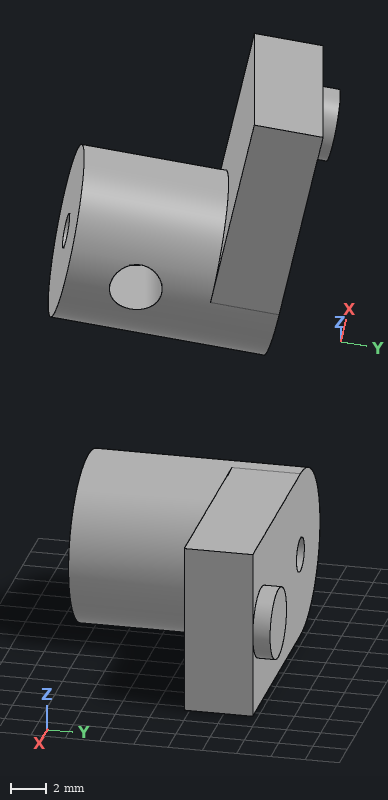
import cadquery as cq

overall_length = 17.1
barrel_diameter = 10.0
barrel_length = 12.4
plate_thickness = 4.0
bore_diameter = 2.0
boss_diameter = 4.17
boss_height = 1.01
side_hole_diameter = 3.0
side_hole_from_front = 4.05

barrel_radius = barrel_diameter / 2
plate_end_x = overall_length - barrel_radius
boss_x = plate_end_x - boss_diameter / 2


def cylinder_along_y(diameter, y_start, length, x=0):
    """Solid cylinder centred at height zero, running toward +Y."""
    return cq.Workplane("XZ", origin=(x, y_start, 0)).circle(diameter / 2).extrude(-length)


barrel = cylinder_along_y(barrel_diameter, 0, barrel_length)

arm = cq.Workplane("XY").box(
    plate_end_x, plate_thickness, barrel_diameter, centered=(False, False, True)
).translate((0, barrel_length - plate_thickness, 0))

boss = cylinder_along_y(boss_diameter, barrel_length, boss_height, boss_x)

bore = cylinder_along_y(bore_diameter, 0, barrel_length)

side_hole = (
    cq.Workplane("XY", origin=(0, side_hole_from_front, 0))
    .circle(side_hole_diameter / 2)
    .extrude(-barrel_radius)
)

result = barrel.union(arm).union(boss).cut(bore).cut(side_hole)